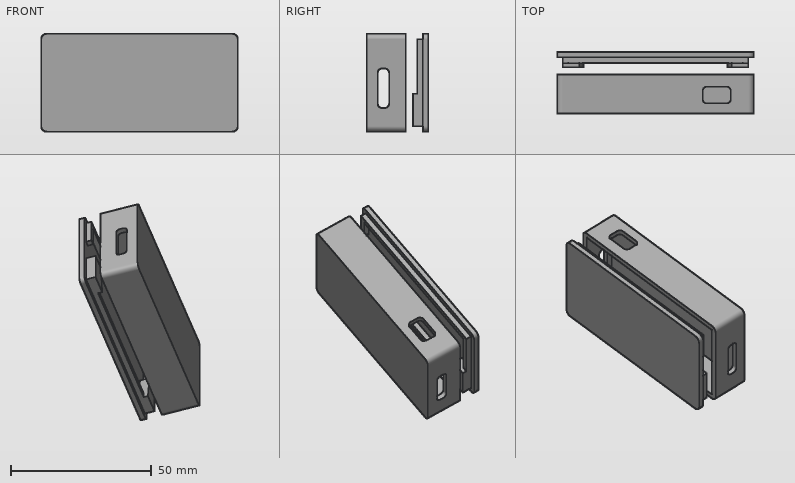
import cadquery as cq

LENGTH = 70.3
HEIGHT = 35.0
TOTAL_DEPTH = 22.0

WALL = 2.0
CORNER_RADIUS = 2.0

HOUSING_DEPTH = 14.0
SLOT_CENTER_Y = 6.0
SLOT_CENTER_Z = 15.55
SLOT_WIDTH = 4.0
SLOT_HEIGHT = 14.0
SLOT_RADIUS = 1.5
WINDOW_CENTER_X = 57.0
WINDOW_CENTER_Y = 6.6
WINDOW_LENGTH = 10.0
WINDOW_WIDTH = 6.0
WINDOW_RADIUS = 1.5

LID_THICKNESS = 2.0
LID_INNER_Y = TOTAL_DEPTH - LID_THICKNESS
RIM_DEPTH = 2.05
RIM_WIDTH = 2.0
NOTCH_TOP_Z = 22.8
BLOCK_DEPTH = 3.6
BLOCK_HEIGHT = 11.7
BLOCK_TOP_Z = WALL + BLOCK_HEIGHT
BLOCK_TOP_WIDTH = 5.9
BLOCK_BASE_WIDTH = 7.5


def box(x, y, z, dx, dy, dz):
    """Box with its lowest corner at (x, y, z)."""
    return cq.Workplane("XY").box(dx, dy, dz, centered=False).translate((x, y, z))


def rounded_plate(y, depth):
    """Full-size rectangular plate with rounded corners, starting at y."""
    return box(0, y, 0, LENGTH, depth, HEIGHT).edges("|Y").fillet(CORNER_RADIUS)


def make_housing():
    body = rounded_plate(0, HOUSING_DEPTH)
    cavity = box(WALL, WALL, WALL, LENGTH - 2 * WALL, HOUSING_DEPTH - WALL, HEIGHT - 2 * WALL)
    slot = box(
        0, SLOT_CENTER_Y - SLOT_WIDTH / 2, SLOT_CENTER_Z - SLOT_HEIGHT / 2,
        LENGTH, SLOT_WIDTH, SLOT_HEIGHT,
    ).edges("|X").fillet(SLOT_RADIUS)
    window = box(
        WINDOW_CENTER_X - WINDOW_LENGTH / 2, WINDOW_CENTER_Y - WINDOW_WIDTH / 2, HEIGHT - WALL,
        WINDOW_LENGTH, WINDOW_WIDTH, WALL,
    ).edges("|Z").fillet(WINDOW_RADIUS)
    return body.cut(cavity).cut(slot).cut(window)


def make_block():
    """Left corner block: its inner flank leans so that the base is wider."""
    outline = [
        (WALL, WALL),
        (WALL + BLOCK_BASE_WIDTH, WALL),
        (WALL + BLOCK_TOP_WIDTH, BLOCK_TOP_Z),
        (WALL, BLOCK_TOP_Z),
    ]
    return cq.Workplane("XZ", origin=(0, LID_INNER_Y, 0)).polyline(outline).close().extrude(BLOCK_DEPTH)


def make_rim():
    """Rectangular rim that fits the housing opening, notched on the left above the block."""
    rim_y = LID_INNER_Y - RIM_DEPTH
    rim_length = LENGTH - 2 * WALL
    rim_height = HEIGHT - 2 * WALL
    outer = box(WALL, rim_y, WALL, rim_length, RIM_DEPTH, rim_height)
    opening = box(
        WALL + RIM_WIDTH, rim_y, WALL + RIM_WIDTH,
        rim_length - 2 * RIM_WIDTH, RIM_DEPTH, rim_height - 2 * RIM_WIDTH,
    )
    notch = box(WALL, rim_y, BLOCK_TOP_Z, RIM_WIDTH, RIM_DEPTH, NOTCH_TOP_Z - BLOCK_TOP_Z)
    return outer.cut(opening).cut(notch)


def make_lid():
    plate = rounded_plate(LID_INNER_Y, LID_THICKNESS)
    left_block = make_block()
    right_block = left_block.mirror("YZ", (LENGTH / 2, 0, 0))
    return plate.union(make_rim()).union(left_block).union(right_block)


housing = make_housing()
lid = make_lid()

result = cq.Compound.makeCompound([housing.val(), lid.val()])